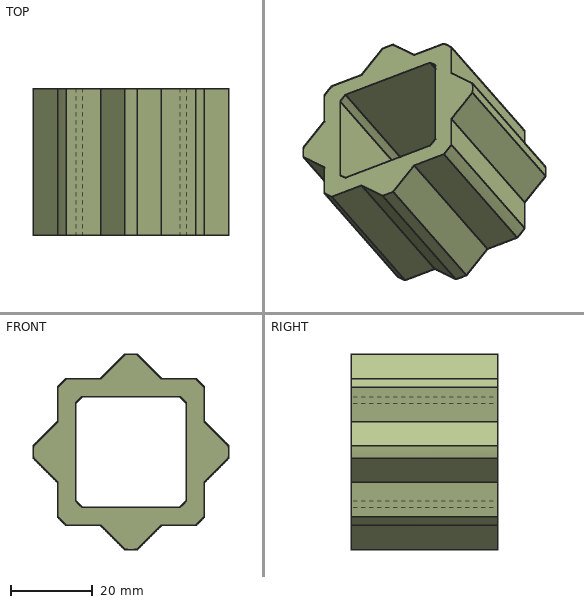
import cadquery as cq

LENGTH = 36.0
SQUARE_SIDE = 36.0
TIP_DIAMETER = 48.0
BORE_SIDE = 27.0
BORE_TIP_DIAMETER = 36.1
CROSS_ANGLE = 45.0


def square_bar(side):
    """Square bar centred on the Y axis, with faces normal to X and Z."""
    return cq.Workplane("XY").box(side, LENGTH, side)


def round_bar(diameter):
    """Round bar centred on the Y axis."""
    return cq.Workplane("XZ").circle(diameter / 2).extrude(LENGTH / 2, both=True)


def star_body():
    """Eight-pointed star of two crossed squares, its points turned to a cylinder."""
    upright = square_bar(SQUARE_SIDE)
    tilted = upright.rotate((0, 0, 0), (0, 1, 0), CROSS_ANGLE)
    return upright.union(tilted).intersect(round_bar(TIP_DIAMETER))


def square_bore():
    """Square opening whose corners are rounded off by a cylinder."""
    return square_bar(BORE_SIDE).intersect(round_bar(BORE_TIP_DIAMETER))


result = star_body().cut(square_bore())